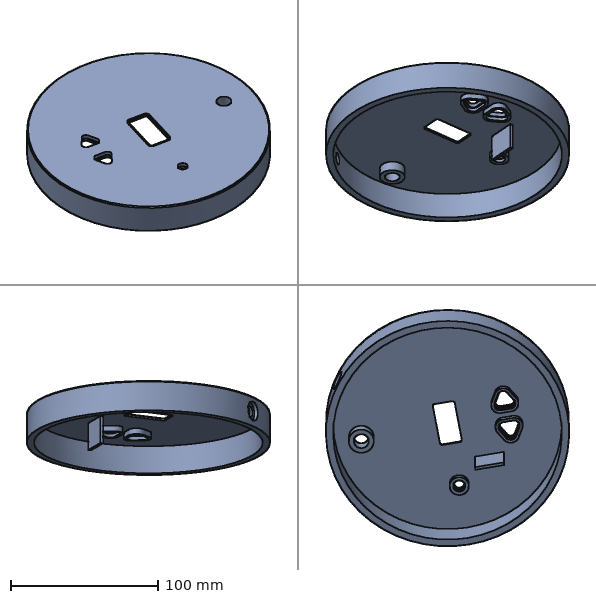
import cadquery as cq
import math

body_diameter = 165.0
body_height = 21.0
rim_chamfer = 0.8
side_wall = 5.0
top_wall = 2.0
cavity_height = body_height - top_wall

window_length = 30.4
window_width = 15.0
window_y = 0.2
window_corner_radius = 1.6
window_step_width = 1.0
window_step_depth = 0.5

rear_hole_diameter = 10.0
rear_hole_y = 59.4
rear_tube_diameter = 17.0
rear_tube_bottom = 12.0

small_hole_diameter = 7.0
small_hole_x = 45.2
small_recess_diameter = 8.1
small_tube_diameter = 13.0

button_base_x = 5.3
button_y = -41.0
button_side = 17.3
button_corner_radius = 3.0
button_recess_margin = 0.8
button_tube_wall = 2.0

lip_depth = 3.3
tube_depth = 6.0
lip_bottom = body_height - lip_depth
tube_bottom = body_height - tube_depth

rib_inner_x = 27.4
rib_thickness = 2.0
rib_length = 19.8
rib_y = -24.0

cable_angle = 125.0
cable_hole_diameter = 8.1
cable_recess_diameter = 13.0
cable_recess_depth = 3.0
cable_z = 10.7
cable_bore_length = 2 * side_wall


def disc(diameter, x, y, bottom, top):
    return cq.Workplane("XY", origin=(x, y, bottom)).circle(diameter / 2).extrude(top - bottom)


def button_prism(direction, margin, bottom, top):
    """Rounded equilateral triangle pointing along +X or -X, grown by margin on each side."""
    height = button_side * math.sqrt(3) / 2
    half_side = button_side / 2 + margin * math.sqrt(3)
    base_x = direction * (button_base_x - margin)
    tip_x = direction * (button_base_x + height + 2 * margin)
    corners = [
        (base_x, button_y - half_side),
        (tip_x, button_y),
        (base_x, button_y + half_side),
    ]
    prism = cq.Workplane("XY", origin=(0, 0, bottom)).polyline(corners).close().extrude(top - bottom)
    return prism.edges("|Z").fillet(button_corner_radius + margin)


def shell():
    body = disc(body_diameter, 0, 0, 0, body_height).faces(">Z").edges().chamfer(rim_chamfer)
    return body.cut(disc(body_diameter - 2 * side_wall, 0, 0, 0, cavity_height))


def window_prism(margin, bottom):
    """Rounded rectangle from bottom up to the top face, grown by margin on each side."""
    outline = cq.Workplane("XY", origin=(0, window_y, bottom))
    outline = outline.rect(window_length + 2 * margin, window_width + 2 * margin)
    return outline.extrude(body_height - bottom).edges("|Z").fillet(window_corner_radius + margin)


def cut_window(body):
    step = window_prism(window_step_width, body_height - window_step_depth)
    return body.cut(window_prism(0, 0)).cut(step)


def add_rear_hole(body):
    body = body.union(disc(rear_tube_diameter, 0, rear_hole_y, rear_tube_bottom, cavity_height))
    return body.cut(disc(rear_hole_diameter, 0, rear_hole_y, 0, body_height))


def add_small_hole(body):
    body = body.union(disc(small_tube_diameter, small_hole_x, 0, tube_bottom, cavity_height))
    body = body.cut(disc(small_recess_diameter, small_hole_x, 0, 0, lip_bottom))
    return body.cut(disc(small_hole_diameter, small_hole_x, 0, 0, body_height))


def add_button(body, direction):
    tube_margin = button_recess_margin + button_tube_wall
    body = body.union(button_prism(direction, tube_margin, tube_bottom, cavity_height))
    body = body.cut(button_prism(direction, button_recess_margin, 0, lip_bottom))
    return body.cut(button_prism(direction, 0, 0, body_height))


def add_rib(body):
    rib = cq.Workplane("XY").box(rib_thickness, rib_length, cavity_height, centered=(False, True, False))
    return body.union(rib.translate((rib_inner_x, rib_y, 0)))


def cut_cable_hole(body):
    angle = math.radians(cable_angle)
    outward = cq.Vector(math.cos(angle), math.sin(angle), 0)
    start = outward * (body_diameter / 2) + cq.Vector(0, 0, cable_z)
    face = cq.Workplane(cq.Plane(origin=start, xDir=(0, 0, 1), normal=outward))
    recess = face.circle(cable_recess_diameter / 2).extrude(-cable_recess_depth)
    bore = face.circle(cable_hole_diameter / 2).extrude(-cable_bore_length)
    return body.cut(recess).cut(bore)


result = shell()
result = cut_window(result)
result = add_rear_hole(result)
result = add_small_hole(result)
for direction in (-1, 1):
    result = add_button(result, direction)
result = add_rib(result)
result = cut_cable_hole(result)